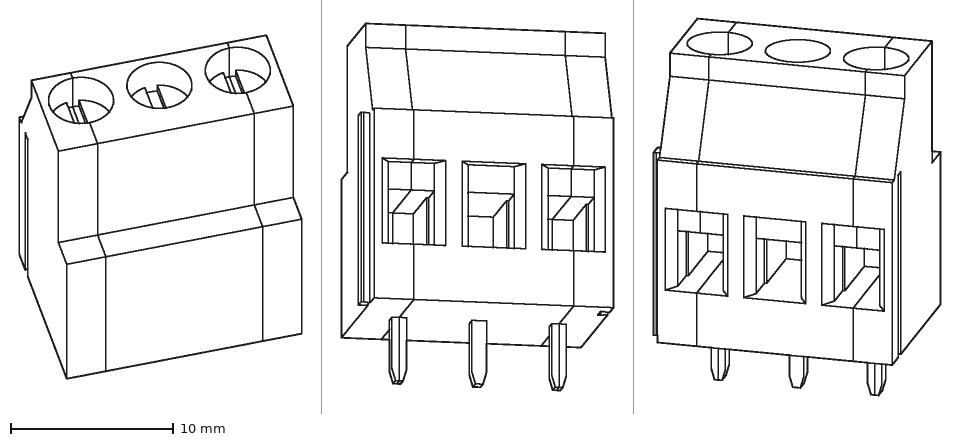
import cadquery as cq


POLE_COUNT = 3
ROW_LENGTH = 15.0
PITCH = ROW_LENGTH / POLE_COUNT
POLE_POSITIONS = [(pole + 0.5) * PITCH for pole in range(POLE_COUNT)]

OVERALL_HEIGHT = 22
HOUSING_DEPTH = 11.2
HOUSING_HEIGHT = 18.0
ENTRY_FACE_HEIGHT = 12.0
LEDGE_WIDTH = 0.48
SLOPE_TOP_X = 2.85
SLOPE_TOP_HEIGHT = 16.48
BACK_STEP_X = 9.25
BACK_STEP_HEIGHT = 10.0

SCREW_X = 5.35
WELL_DIAMETER = 4.0
WELL_DEPTH = 2.0
SCREW_SLOT_WIDTH = 0.8
SCREW_SLOT_DEPTH = 0.5

ENTRY_FLOOR = 3.5
FUNNEL_TOP = 8.87
FUNNEL_MOUTH_WIDTH = 3.98
FUNNEL_DEPTH = 0.9
TUNNEL_TOP = 7.13
TUNNEL_WIDTH = 2.88
TUNNEL_END_X = 2.82
CHAMBER_WIDTH = 2.62
CHAMBER_END_X = SCREW_X + WELL_DIAMETER / 2

PIN_X = 5.45
PIN_THICKNESS = 0.9
PIN_WIDTH = 0.92
PIN_LENGTH = OVERALL_HEIGHT - HOUSING_HEIGHT
PIN_TIP_LENGTH = 0.75
PIN_TIP_WIDTH = 0.48

DOVETAIL_X = 1.7
DOVETAIL_NECK_WIDTH = 0.57
DOVETAIL_HEAD_WIDTH = 1.0
DOVETAIL_FLARE = 0.42
DOVETAIL_DEPTH = 0.6


def block(x_start, x_end, y_center, width, z_start, z_end):
    """Upright box centred on y_center."""
    box = cq.Workplane().box(x_end - x_start, width, z_end - z_start, centered=(False, True, False))
    return box.translate((x_start, y_center, z_start))


def housing_blank(y_start, y_end):
    """Stepped and sloped side profile, extruded from y_start to y_end."""
    profile = [
        (0, 0),
        (HOUSING_DEPTH, 0),
        (HOUSING_DEPTH, BACK_STEP_HEIGHT),
        (BACK_STEP_X, BACK_STEP_HEIGHT),
        (BACK_STEP_X, HOUSING_HEIGHT),
        (SLOPE_TOP_X, HOUSING_HEIGHT),
        (SLOPE_TOP_X, SLOPE_TOP_HEIGHT),
        (LEDGE_WIDTH, ENTRY_FACE_HEIGHT),
        (0, ENTRY_FACE_HEIGHT),
    ]
    blank = cq.Workplane("XZ").polyline(profile).close().extrude(y_start - y_end)
    return blank.translate((0, y_start, 0))


def well_cylinder(y_center, z_start, z_end):
    """Upright cylinder of the well diameter, with its seam turned towards +Y, off the joint planes."""
    base = cq.Plane(origin=(SCREW_X, y_center, z_start), xDir=(0, 1, 0), normal=(0, 0, 1))
    return cq.Workplane(base).circle(WELL_DIAMETER / 2).extrude(z_end - z_start)


def screw_well(y_center):
    """Round well down to the screw head, with the driver slot across its floor."""
    floor = HOUSING_HEIGHT - WELL_DEPTH
    slot_floor = floor - SCREW_SLOT_DEPTH
    well = well_cylinder(y_center, floor, HOUSING_HEIGHT)
    slot_band = block(0, HOUSING_DEPTH, y_center, SCREW_SLOT_WIDTH, slot_floor, floor)
    return well.union(well_cylinder(y_center, slot_floor, floor).intersect(slot_band))


def wire_entry(y_center):
    """Funnel with tapered sides, leading through the tunnel into the clamp chamber."""
    half_mouth = FUNNEL_MOUTH_WIDTH / 2
    half_tunnel = TUNNEL_WIDTH / 2
    funnel_outline = [
        (0, y_center - half_mouth),
        (FUNNEL_DEPTH, y_center - half_tunnel),
        (FUNNEL_DEPTH, y_center + half_tunnel),
        (0, y_center + half_mouth),
    ]
    funnel = cq.Workplane().polyline(funnel_outline).close().extrude(FUNNEL_TOP - ENTRY_FLOOR)
    funnel = funnel.translate((0, 0, ENTRY_FLOOR))
    tunnel = block(FUNNEL_DEPTH, TUNNEL_END_X, y_center, TUNNEL_WIDTH, ENTRY_FLOOR, TUNNEL_TOP)
    chamber = block(TUNNEL_END_X, CHAMBER_END_X, y_center, CHAMBER_WIDTH, ENTRY_FLOOR, TUNNEL_TOP)
    return funnel.union(tunnel).union(chamber)


def solder_pin(y_center):
    """Flat pin below the housing, narrowed in Y towards its tip."""
    half_width = PIN_WIDTH / 2
    half_tip = PIN_TIP_WIDTH / 2
    taper_start = PIN_TIP_LENGTH - PIN_LENGTH
    outline = [
        (y_center - half_width, 0),
        (y_center - half_width, taper_start),
        (y_center - half_tip, -PIN_LENGTH),
        (y_center + half_tip, -PIN_LENGTH),
        (y_center + half_width, taper_start),
        (y_center + half_width, 0),
    ]
    pin = cq.Workplane("YZ").polyline(outline).close().extrude(PIN_THICKNESS)
    return pin.translate((PIN_X - PIN_THICKNESS / 2, 0, 0))


def dovetail(y_base):
    """Bar that widens in +Y from its neck, then ends in a straight-sided head."""
    half_neck = DOVETAIL_NECK_WIDTH / 2
    half_head = DOVETAIL_HEAD_WIDTH / 2
    outline = [
        (DOVETAIL_X - half_neck, y_base),
        (DOVETAIL_X - half_head, y_base + DOVETAIL_FLARE),
        (DOVETAIL_X - half_head, y_base + DOVETAIL_DEPTH),
        (DOVETAIL_X + half_head, y_base + DOVETAIL_DEPTH),
        (DOVETAIL_X + half_head, y_base + DOVETAIL_FLARE),
        (DOVETAIL_X + half_neck, y_base),
    ]
    return cq.Workplane().polyline(outline).close().extrude(ENTRY_FACE_HEIGHT)


def pole_row(y_start, y_end):
    """Length of the block from y_start to y_end, with whatever parts of the poles lie in it."""
    row = housing_blank(y_start, y_end)
    pin_space = block(0, HOUSING_DEPTH, (y_start + y_end) / 2, y_end - y_start, -PIN_LENGTH, 0)
    for y_center in POLE_POSITIONS:
        if y_start <= y_center <= y_end:
            row = row.cut(screw_well(y_center)).cut(wire_entry(y_center))
            row = row.union(solder_pin(y_center).intersect(pin_space))
    return row


FRONT_JOINT = POLE_POSITIONS[0]
REAR_JOINT = POLE_POSITIONS[-1]


def front_end():
    """Outer half of the first pole, with the dovetail groove in its end face."""
    return pole_row(0, FRONT_JOINT).cut(dovetail(0))


def middle_section():
    """All that lies between the centre planes of the first and last poles."""
    return pole_row(FRONT_JOINT, REAR_JOINT)


def rear_end():
    """Outer half of the last pole, with the dovetail tongue on its end face."""
    return pole_row(REAR_JOINT, ROW_LENGTH).union(dovetail(ROW_LENGTH))


result = cq.Compound.makeCompound([front_end().val(), middle_section().val(), rear_end().val()])